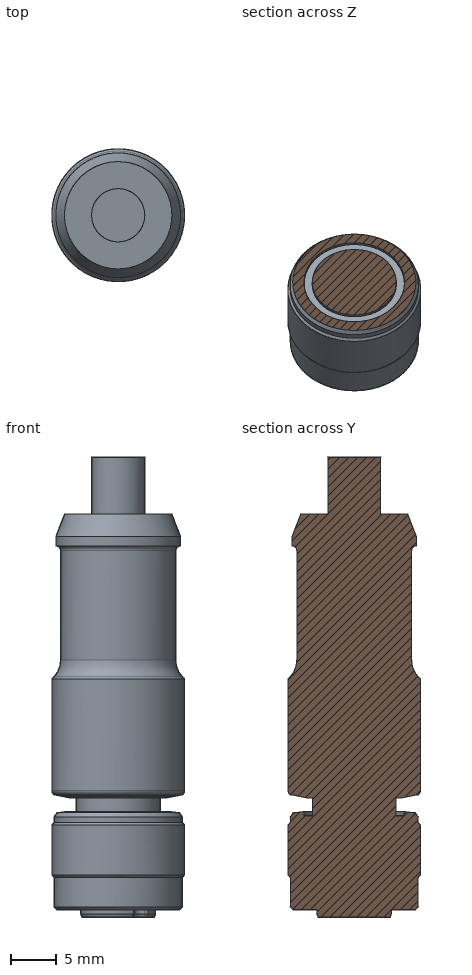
import cadquery as cq
import math

CABLE_DIAMETER = 5.8
CAP_TOP_DIAMETER = 11.7
COLLAR_DIAMETER = 13.6
SHAFT_DIAMETER = 12.6
BODY_DIAMETER = 14.5
NECK_DIAMETER = 9.2
BODY_RIM_DIAMETER = 10.2
NUT_BORE_DIAMETER = 10.92
NUT_GRIP_DIAMETER = 14.5
NUT_END_DIAMETER = 14.0
INSERT_DIAMETER = 8.2

CABLE_TOP = 50.2
CAP_TOP = 44.0
CONE_BOTTOM = 41.55
COLLAR_BOTTOM = 40.5
SHAFT_BOTTOM = 28.05
BODY_TOP = 26.0
BODY_BOTTOM = 13.85
NECK_TOP = 13.0
NUT_TOP = 11.57
NUT_BORE_FLOOR = 11.1
NUT_LAND_BOTTOM = 10.35
GRIP_TOP = 10.1
GRIP_BOTTOM = 4.65
NUT_SLEEVE_TOP = 4.35
NUT_BOTTOM = 0.83

COLLAR_FILLET = (COLLAR_DIAMETER - SHAFT_DIAMETER) / 2
BODY_TOP_CHAMFER = 0.25
BODY_BOTTOM_ROUNDING = 0.25
NUT_TOP_CHAMFER_WIDTH = 0.3
NUT_TOP_CHAMFER_HEIGHT = 0.45
NUT_BOTTOM_CHAMFER = 0.3
BODY_SLOPE_ANGLE = 11.0
NUT_SLOPE_ANGLE = 7.0
INSERT_CHAMFER_WIDTH = 0.15
INSERT_CHAMFER_HEIGHT = 0.4

GROOVE_DIAMETER = 1.5
GROOVE_EDGE_FILLET = 0.3
GROOVE_ANGLE = -52.5


def slope_height(outer_radius, inner_radius, angle):
    """Height difference along a sloped face between two radii."""
    return (outer_radius - inner_radius) * math.tan(math.radians(angle))


def tangent_arc_midpoint(start_r, start_z, end_r, end_z):
    """Middle of an arc that runs down from a vertical wall, tangent to it at the start."""
    spread = end_r - start_r
    drop = start_z - end_z
    arc_radius = (spread ** 2 + drop ** 2) / (2 * abs(spread))
    half_angle = math.atan2(abs(spread), drop)
    return (
        start_r + math.copysign(arc_radius * (1 - math.cos(half_angle)), spread),
        start_z - arc_radius * math.sin(half_angle),
    )


def revolve_profile(profile):
    """Revolve a closed radius-height profile about Z."""
    return profile.close().revolve(360, (0, 0, 0), (0, 1, 0))


def make_upper_body():
    """Cable, clamping cap, shaft and body above the neck."""
    collar_r = COLLAR_DIAMETER / 2
    shaft_r = SHAFT_DIAMETER / 2
    body_r = BODY_DIAMETER / 2
    rim_r = BODY_RIM_DIAMETER / 2
    fillet_reach = COLLAR_FILLET * math.sqrt(0.5)
    flare_r = body_r - BODY_TOP_CHAMFER
    flare_z = BODY_TOP + BODY_TOP_CHAMFER
    slope_r = body_r - BODY_BOTTOM_ROUNDING
    slope_z = NECK_TOP + slope_height(slope_r, rim_r, BODY_SLOPE_ANGLE)
    profile = (
        cq.Workplane("XZ")
        .moveTo(0, NECK_TOP)
        .lineTo(0, CABLE_TOP)
        .lineTo(CABLE_DIAMETER / 2, CABLE_TOP)
        .lineTo(CABLE_DIAMETER / 2, CAP_TOP)
        .lineTo(CAP_TOP_DIAMETER / 2, CAP_TOP)
        .lineTo(collar_r, CONE_BOTTOM)
        .lineTo(collar_r, COLLAR_BOTTOM)
        .threePointArc(
            (collar_r - fillet_reach, COLLAR_BOTTOM - COLLAR_FILLET + fillet_reach),
            (shaft_r, COLLAR_BOTTOM - COLLAR_FILLET),
        )
        .lineTo(shaft_r, SHAFT_BOTTOM)
        .threePointArc(
            tangent_arc_midpoint(shaft_r, SHAFT_BOTTOM, flare_r, flare_z), (flare_r, flare_z)
        )
        .lineTo(body_r, BODY_TOP)
        .lineTo(body_r, BODY_BOTTOM)
        .threePointArc(
            tangent_arc_midpoint(body_r, BODY_BOTTOM, slope_r, slope_z), (slope_r, slope_z)
        )
        .lineTo(rim_r, NECK_TOP)
    )
    return revolve_profile(profile)


def make_neck():
    """Plain cylinder joining the body to the nut."""
    return (
        cq.Workplane("XY")
        .workplane(offset=NUT_BOTTOM)
        .circle(NECK_DIAMETER / 2)
        .extrude(NECK_TOP - NUT_BOTTOM)
    )


def make_nut():
    """Coupling nut with a raised grip band and a slightly sloped top face."""
    bore_r = NUT_BORE_DIAMETER / 2
    end_r = NUT_END_DIAMETER / 2
    grip_r = NUT_GRIP_DIAMETER / 2
    slope_r = end_r - NUT_TOP_CHAMFER_WIDTH
    slope_z = NUT_TOP - slope_height(slope_r, bore_r, NUT_SLOPE_ANGLE)
    profile = (
        cq.Workplane("XZ")
        .moveTo(0, NUT_BOTTOM)
        .lineTo(0, NUT_BORE_FLOOR)
        .lineTo(bore_r, NUT_BORE_FLOOR)
        .lineTo(bore_r, NUT_TOP)
        .lineTo(slope_r, slope_z)
        .lineTo(end_r, slope_z - NUT_TOP_CHAMFER_HEIGHT)
        .lineTo(end_r, NUT_LAND_BOTTOM)
        .lineTo(grip_r, GRIP_TOP)
        .lineTo(grip_r, GRIP_BOTTOM)
        .lineTo(end_r, NUT_SLEEVE_TOP)
        .lineTo(end_r, NUT_BOTTOM + NUT_BOTTOM_CHAMFER)
        .lineTo(end_r - NUT_BOTTOM_CHAMFER, NUT_BOTTOM)
    )
    return revolve_profile(profile)


def make_insert():
    """Contact insert below the nut, with a rounded coding groove and a chamfered end."""
    angle = math.radians(GROOVE_ANGLE)
    insert_r = INSERT_DIAMETER / 2
    groove_x = insert_r * math.cos(angle)
    groove_y = insert_r * math.sin(angle)
    groove = (
        cq.Workplane("XY")
        .center(groove_x, groove_y)
        .circle(GROOVE_DIAMETER / 2)
        .extrude(NUT_BOTTOM)
    )
    insert = cq.Workplane("XY").circle(insert_r).extrude(NUT_BOTTOM).cut(groove)
    near_groove = cq.selectors.BoxSelector(
        (groove_x - GROOVE_DIAMETER, groove_y - GROOVE_DIAMETER, 0),
        (groove_x + GROOVE_DIAMETER, groove_y + GROOVE_DIAMETER, NUT_BOTTOM),
    )
    insert = insert.edges("|Z").edges(near_groove).fillet(GROOVE_EDGE_FILLET)
    return insert.faces("<Z").chamfer(INSERT_CHAMFER_HEIGHT, INSERT_CHAMFER_WIDTH)


result = make_upper_body().union(make_neck()).union(make_nut()).union(make_insert())